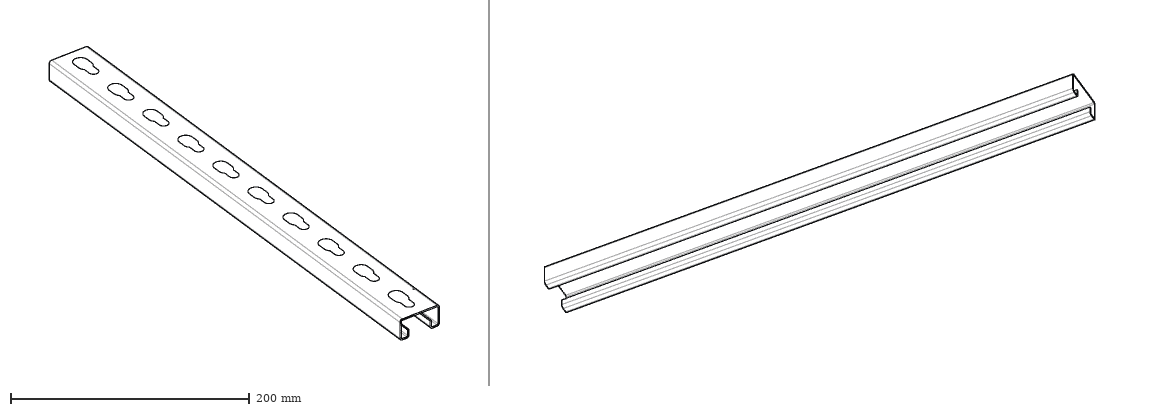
import cadquery as cq

length = 500.0
width = 41.0
body_height = 21.0
wall = 1.5
lip_gap = 22.0
lip_height = 8.0
outer_radius = 2.5
inner_radius = outer_radius - wall

mark_count = 10
mark_pitch = length / mark_count
mark_start = 10.0
mark_length = 29.5
wide_length = 20.0
wide_width = 13.5
narrow_width = 9.0
mark_rise = 0.1


def rounded_bar(y_size, z_size, radius, z_bottom):
    """Full-length bar along X, centred on Y, with its four long edges rounded."""
    bar = cq.Workplane("XY").box(length, y_size, z_size, centered=(True, True, False))
    return bar.edges("|X").fillet(radius).translate((0, 0, z_bottom))


def lip(side):
    """Hooked lip at the bottom of one side wall; side is +1 or -1."""
    lip_width = (width - lip_gap) / 2
    centre_y = side * (lip_gap + lip_width) / 2
    hook = rounded_bar(lip_width, body_height, outer_radius, 0)
    hollow = rounded_bar(lip_width - 2 * wall, body_height, inner_radius, wall)
    top_cut = cq.Workplane("XY").box(length, lip_width, body_height, centered=(True, True, False))
    return hook.cut(hollow).cut(top_cut.translate((0, 0, lip_height))).translate((0, centre_y, 0))


def channel():
    """C-shaped channel, open downward, with inward lips turned up."""
    shell = rounded_bar(width, body_height, outer_radius, 0)
    shell = shell.cut(rounded_bar(width - 2 * wall, body_height - 2 * wall, inner_radius, wall))
    floor_width = width - 2 * outer_radius
    floor = cq.Workplane("XY").box(length, floor_width, outer_radius, centered=(True, True, False))
    shell = shell.cut(floor)
    return shell.union(lip(1)).union(lip(-1))


def rounded_pad(x_start, pad_length, pad_width):
    """Round-ended pad on the web along X, starting at x_start."""
    return (
        cq.Workplane("XY", origin=(x_start + pad_length / 2, 0, body_height))
        .slot2D(pad_length, pad_width)
        .extrude(mark_rise)
    )


result = channel()
for index in range(mark_count):
    x_start = -length / 2 + mark_start + index * mark_pitch
    wide_end = rounded_pad(x_start, wide_length, wide_width)
    narrow_end = rounded_pad(x_start, mark_length, narrow_width)
    result = result.union(wide_end.union(narrow_end))